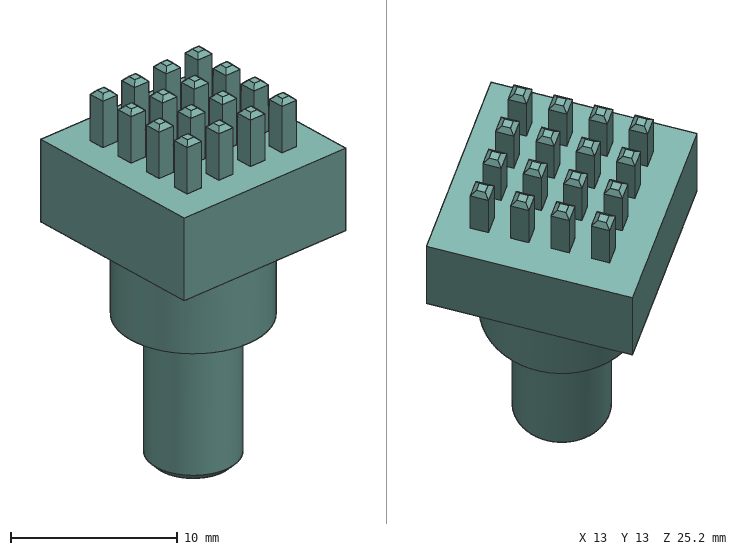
import cadquery as cq

stem_length = 10.0
collar_height = 6.0
pin_length = 3.5
total_height = 25.2
block_height = total_height - stem_length - collar_height - pin_length

stem_diameter = 6.0
collar_diameter = 10.0
block_side = 13.0

stem_chamfer = 0.5

pins_per_side = 4
pin_pitch = 2.55
pin_side = 1.15
pin_chamfer = 0.3

collar_bottom = stem_length
block_bottom = collar_bottom + collar_height
block_top = block_bottom + block_height


def make_stem():
    """Round stem with its lower end chamfered."""
    stem = cq.Workplane("XY").circle(stem_diameter / 2).extrude(stem_length)
    return stem.faces("<Z").edges().chamfer(stem_chamfer)


def make_collar():
    """Wider round collar between the stem and the block."""
    return (
        cq.Workplane("XY")
        .workplane(offset=collar_bottom)
        .circle(collar_diameter / 2)
        .extrude(collar_height)
    )


def make_block():
    """Square block that carries the pins."""
    return (
        cq.Workplane("XY")
        .workplane(offset=block_bottom)
        .rect(block_side, block_side)
        .extrude(block_height)
    )


def make_pin(x, y):
    """Square pin standing on the block, its top edges chamfered."""
    pin = (
        cq.Workplane("XY", origin=(x, y, block_top))
        .rect(pin_side, pin_side)
        .extrude(pin_length)
    )
    return pin.faces(">Z").edges().chamfer(pin_chamfer)


result = make_stem().union(make_collar()).union(make_block())

first_pin = -pin_pitch * (pins_per_side - 1) / 2
pin_positions = [first_pin + i * pin_pitch for i in range(pins_per_side)]
for pin_x in pin_positions:
    for pin_y in pin_positions:
        result = result.union(make_pin(pin_x, pin_y))